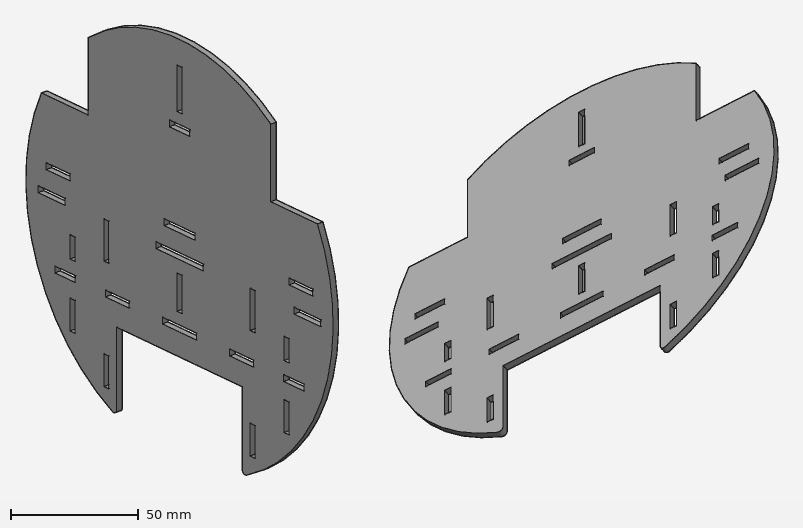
import cadquery as cq
import math

disc_radius = 91.3
plate_thickness = 3.0

head_half_width = 54.2
shoulder_height = 40.2

notch_half_width = 37.3
notch_top = -45.1
leg_tip_radius = 1.8

slot_width = 3.0

upper_row_z = 9.7
middle_row_z = -1.8
lower_row_z = -32.9
inner_column_x = 43.5
outer_column_x = 63.5
side_slot_length = 14.0

centre_flat_slots = [
    (0, 53.1, 12.0),
    (0, upper_row_z, 18.3),
    (0, middle_row_z, 28.1),
    (0, lower_row_z, 20.3),
]
centre_upright_slots = [
    (0, 69.8, 19.9),
    (0, -17.7, 16.5),
]
side_flat_slots = [
    (72.1, upper_row_z, side_slot_length),
    (76.0, middle_row_z, 15.9),
    (68.0, lower_row_z, 12.0),
    (36.9, lower_row_z, side_slot_length),
]
side_upright_slots = [
    (inner_column_x, -10.2, 18.0),
    (outer_column_x, -20.0, 10.5),
    (outer_column_x, -49.1, side_slot_length),
    (inner_column_x, -66.1, side_slot_length),
]


def mirrored(slots):
    """Return the slots together with their mirror images across x = 0."""
    return slots + [(-x, z, length) for x, z, length in slots]


def rim_distance(offset):
    """Distance to the rim along X at height offset, or along Z at x = offset."""
    return math.sqrt(disc_radius**2 - offset**2)


def make_plate():
    """Disc outline with the shoulders and the bottom notch taken out."""
    head_corner = rim_distance(head_half_width)
    shoulder_end = rim_distance(shoulder_height)

    tip_x = notch_half_width + leg_tip_radius
    tip_z = -math.sqrt((disc_radius - leg_tip_radius) ** 2 - tip_x**2)
    rim_scale = disc_radius / (disc_radius - leg_tip_radius)
    rim_x = tip_x * rim_scale
    rim_z = tip_z * rim_scale
    tip_bottom = tip_z - leg_tip_radius

    return (
        cq.Workplane("XZ")
        .moveTo(-head_half_width, head_corner)
        .threePointArc((0, disc_radius), (head_half_width, head_corner))
        .lineTo(head_half_width, shoulder_height)
        .lineTo(shoulder_end, shoulder_height)
        .threePointArc((disc_radius, 0), (rim_x, rim_z))
        .threePointArc((tip_x, tip_bottom), (notch_half_width, tip_z))
        .lineTo(notch_half_width, notch_top)
        .lineTo(-notch_half_width, notch_top)
        .lineTo(-notch_half_width, tip_z)
        .threePointArc((-tip_x, tip_bottom), (-rim_x, rim_z))
        .threePointArc((-disc_radius, 0), (-shoulder_end, shoulder_height))
        .lineTo(-head_half_width, shoulder_height)
        .close()
        .extrude(plate_thickness / 2, both=True)
    )


def cut_slots(plate, slots, upright):
    """Cut every slot through the plate, lengthwise along Z if upright, else along X."""
    for x, z, length in slots:
        size_x = slot_width if upright else length
        size_z = length if upright else slot_width
        cutter = cq.Workplane("XY").box(size_x, 2 * plate_thickness, size_z)
        plate = plate.cut(cutter.translate((x, 0, z)))
    return plate


result = make_plate()
result = cut_slots(result, centre_flat_slots + mirrored(side_flat_slots), upright=False)
result = cut_slots(result, centre_upright_slots + mirrored(side_upright_slots), upright=True)